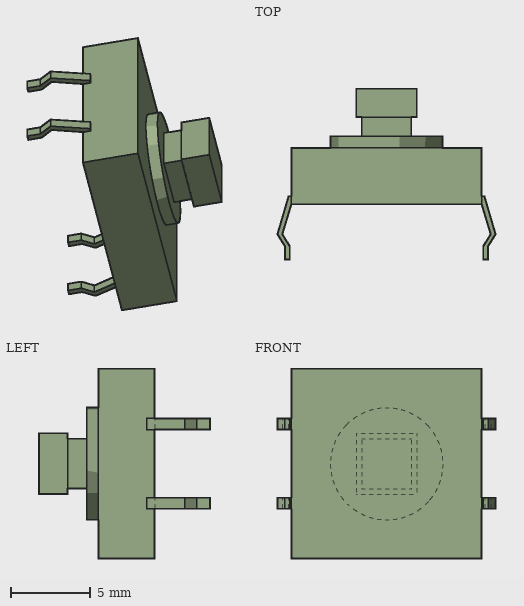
import cadquery as cq

leg_span = 13.77
body_side = 12.0
body_depth = 3.55

collar_diameter = 7.09
collar_height = 0.75
stem_side = 3.15
stem_height = 1.2
cap_side = 3.84
cap_height = 1.8

leg_pitch = 5.0
leg_width = 0.7
leg_reach = 3.5
leg_tip_length = 0.85
leg_elbow_height = 1.61
leg_root_overlap = 0.51
leg_thickness = 0.32
tip_outer_x = 6.42
root_outer_x = 6.18
root_embed = 0.07


def block(side, start_y, height):
    """Square block centred on the Y axis, growing toward +Y."""
    return cq.Workplane("XY").box(side, height, side).translate((0, start_y + height / 2, 0))


def make_leg():
    """One right-hand leg, centred on Z = 0."""
    elbow_outer_x = leg_span / 2
    tip_y = -leg_reach
    straight_end_y = tip_y + leg_tip_length
    elbow_y = tip_y + leg_elbow_height
    body_x = body_side / 2
    outline = [
        (tip_outer_x, tip_y),
        (tip_outer_x, straight_end_y),
        (elbow_outer_x, elbow_y),
        (root_outer_x, leg_root_overlap),
        (body_x - root_embed, leg_root_overlap),
        (body_x - root_embed, 0),
        (body_x, 0),
        (elbow_outer_x - leg_thickness, elbow_y),
        (tip_outer_x - leg_thickness, straight_end_y),
        (tip_outer_x - leg_thickness, tip_y),
    ]
    return cq.Workplane("XY").polyline(outline).close().extrude(leg_width / 2, both=True)


collar_start = body_depth
stem_start = collar_start + collar_height
cap_start = stem_start + stem_height

collar = (
    cq.Workplane("XZ", origin=(0, collar_start, 0))
    .circle(collar_diameter / 2)
    .extrude(-collar_height)
)
result = (
    block(body_side, 0, body_depth)
    .union(collar)
    .union(block(stem_side, stem_start, stem_height))
    .union(block(cap_side, cap_start, cap_height))
)

right_leg = make_leg()
left_leg = right_leg.mirror("YZ")
for leg_z in (-leg_pitch / 2, leg_pitch / 2):
    for leg in (right_leg, left_leg):
        result = result.union(leg.translate((0, 0, leg_z)))